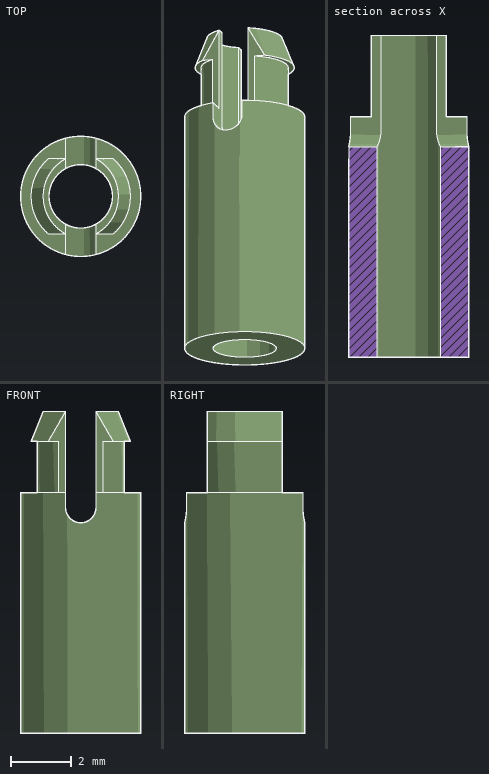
import cadquery as cq
import math

body_diameter = 4.0
body_height = 8.0
bore_diameter = 2.1

post_diameter = 2.9
post_width = 2.5
half_width = post_width / 2

total_height = 10.7
barb_height = 1.0
barb_base_z = total_height - barb_height
barb_base_radius = 1.65
barb_tip_reach = 1.25

slot_width = 1.0
slot_depth_in_body = 1.0
half_slot = slot_width / 2


def make_body():
    return cq.Workplane("XY").circle(body_diameter / 2).extrude(body_height)


def make_post():
    """Round post cut down to the flat-to-flat width, up to the barbs."""
    post_height = barb_base_z - body_height
    flats = cq.Workplane("XY").workplane(offset=body_height).rect(post_diameter, post_width).extrude(post_height)
    cylinder = cq.Workplane("XY").workplane(offset=body_height).circle(post_diameter / 2).extrude(post_height)
    return cylinder.intersect(flats)


def make_barb():
    """Barb on the +X side: a ruled taper between two arc segments, backed by a wedge at the slot."""
    base_corner_x = math.sqrt(barb_base_radius**2 - half_width**2)
    taper = (
        cq.Workplane("XY")
        .workplane(offset=barb_base_z)
        .moveTo(base_corner_x, -half_width)
        .threePointArc((barb_base_radius, 0), (base_corner_x, half_width))
        .close()
        .workplane(offset=barb_height)
        .moveTo(half_slot, -half_width)
        .threePointArc((barb_tip_reach, 0), (half_slot, half_width))
        .close()
        .loft(ruled=True)
    )
    wedge = (
        cq.Workplane("XZ")
        .moveTo(half_slot, barb_base_z)
        .lineTo(base_corner_x, barb_base_z)
        .lineTo(half_slot, total_height)
        .close()
        .extrude(half_width, both=True)
    )
    return taper.union(wedge)


def make_bore():
    return cq.Workplane("XY").circle(bore_diameter / 2).extrude(total_height)


def make_slot():
    """Slot along Y, open at the top and ending in a half round."""
    slot_bottom_z = body_height - slot_depth_in_body
    round_center_z = slot_bottom_z + half_slot
    return (
        cq.Workplane("XZ")
        .moveTo(-half_slot, total_height)
        .lineTo(-half_slot, round_center_z)
        .threePointArc((0, slot_bottom_z), (half_slot, round_center_z))
        .lineTo(half_slot, total_height)
        .close()
        .extrude(body_diameter / 2, both=True)
    )


barb = make_barb()
result = make_body().union(make_post()).union(barb).union(barb.mirror("YZ"))
result = result.cut(make_bore()).cut(make_slot()).clean()